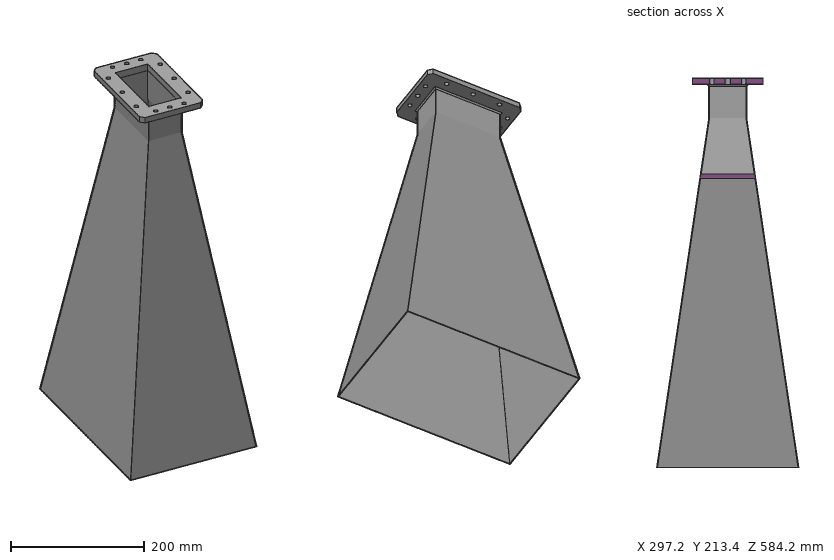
import cadquery as cq

MOUTH_X = 297.18
MOUTH_Y = 213.36
TOTAL_HEIGHT = 584.2
WALL = 1.27

BORE_X = 109.22
BORE_Y = 54.61
NECK_X = BORE_X + 2 * WALL
NECK_Y = BORE_Y + 2 * WALL
NECK_LENGTH = 60.325
HORN_HEIGHT = TOTAL_HEIGHT - NECK_LENGTH

FLANGE_X = 161.04
FLANGE_Y = 106.43
FLANGE_THICKNESS = 9.525
FLANGE_CORNER = 6.35
FLANGE_BOTTOM = TOTAL_HEIGHT - FLANGE_THICKNESS

WELD_HEIGHT = 2.8
WELD_WIDTH = 1.96

BOLT_DIAMETER = 6.78
PIN_DIAMETER = 6.35
LONG_ROW_Y = 43.7
LONG_ROW_PITCH = 45.5
SHORT_ROW_X = 70.7
SHORT_ROW_PITCH = 23.8


def block(size_x, size_y, bottom_z, top_z):
    """Upright rectangular block centred on the Z axis."""
    base = cq.Workplane("XY").workplane(offset=bottom_z)
    return base.rect(size_x, size_y).extrude(top_z - bottom_z)


def frustum(bottom_x, bottom_y, top_x, top_y, bottom_z, top_z):
    """Solid tapering from a bottom rectangle to a top rectangle."""
    base = cq.Workplane("XY").workplane(offset=bottom_z).rect(bottom_x, bottom_y)
    return base.workplane(offset=top_z - bottom_z).rect(top_x, top_y).loft(ruled=True)


def flange_holes(centres, diameter):
    """Cylinders that pass through the full flange thickness."""
    plane = cq.Workplane("XY").workplane(offset=FLANGE_BOTTOM)
    return plane.pushPoints(centres).circle(diameter / 2).extrude(FLANGE_THICKNESS)


def make_flange():
    """Plate with chamfered corners; the outer holes of the short rows are the pin holes."""
    bolts = []
    pins = []
    for side in (-1, 1):
        for step in (-1, 0, 1):
            bolts.append((step * LONG_ROW_PITCH, side * LONG_ROW_Y))
            short_row = bolts if step == 0 else pins
            short_row.append((side * SHORT_ROW_X, step * SHORT_ROW_PITCH))
    plate = block(FLANGE_X, FLANGE_Y, FLANGE_BOTTOM, TOTAL_HEIGHT)
    plate = plate.edges("|Z").chamfer(FLANGE_CORNER)
    return plate.cut(flange_holes(bolts, BOLT_DIAMETER)).cut(flange_holes(pins, PIN_DIAMETER))


def make_weld():
    """Bead widening from the neck surface up to the underside of the flange."""
    top_x = NECK_X + 2 * WELD_WIDTH
    top_y = NECK_Y + 2 * WELD_WIDTH
    return frustum(NECK_X, NECK_Y, top_x, top_y, FLANGE_BOTTOM - WELD_HEIGHT, FLANGE_BOTTOM)


def make_passage():
    """Hollow interior: flared cavity below, straight bore through neck and flange."""
    mouth_x = MOUTH_X - 2 * WALL
    mouth_y = MOUTH_Y - 2 * WALL
    cavity = frustum(mouth_x, mouth_y, BORE_X, BORE_Y, 0, HORN_HEIGHT)
    return cavity.union(block(BORE_X, BORE_Y, HORN_HEIGHT, TOTAL_HEIGHT))


horn = frustum(MOUTH_X, MOUTH_Y, NECK_X, NECK_Y, 0, HORN_HEIGHT)
neck = block(NECK_X, NECK_Y, HORN_HEIGHT, FLANGE_BOTTOM)
body = horn.union(neck).union(make_weld()).union(make_flange())

result = body.cut(make_passage())